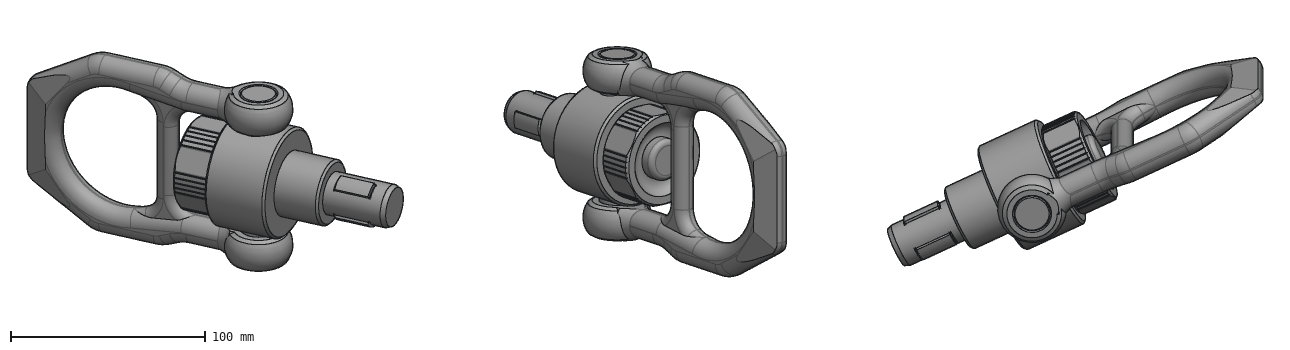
import cadquery as cq
import math

TOTAL_LENGTH = 209.1

SELECTION_MARGIN = 0.2

SHACKLE_HALF_HEIGHT = 51.0
BAR_THICKNESS = 16.3
TIP_HALF_HEIGHT = 28.0
SHOULDER_X = 39.3
WAIST_START_X = 78.5
ARM_START_X = 90.3
ARM_OUTER_Z = 46.0
ARM_INNER_Z = 30.3
TIP_CORNER_RADIUS = 8.4
BEND_RADIUS = 16.7
EYE_X = 53.5
EYE_RADIUS = 35.0
CROSSBAR_LEFT_X = 74.0
CROSSBAR_RIGHT_X = 85.3
CROSSBAR_THICKNESS = CROSSBAR_RIGHT_X - CROSSBAR_LEFT_X
WEB_RADIUS = 10.5
OUTER_ROUND = 7.7
INNER_ROUND = 7.7
EYE_END_X = 60.6
CROSSBAR_ROUND = 5.5
CROSSBAR_END_Z = 42.9
TIP_HALF_THICKNESS = 3.0
TAPER_LENGTH = 13.4
TAPER_CORNER_Z = 18.8

LUG_X = 131.3
LUG_RADIUS = 17.8
LUG_SHOULDER_RADIUS = 15.3
LUG_FACE_RADIUS = 13.0
LUG_BOTTOM_Z = ARM_INNER_Z
LUG_TOP_Z = 48.3
LUG_EDGE_DROP = 1.3
FLARE_START_X = 109.2
FLARE_END_X = 119.2
FLARE_RADIUS = 11.7

HOUSING_RADIUS = 29.5
HOUSING_START_X = 114.4
HOUSING_END_X = 148.7
HOUSING_CHAMFER = 1.3
TRUNNION_RADIUS = 9.5
TRUNNION_CHAMFER = 0.6

HEAD_START_X = 94.1
HEAD_RADIUS = 25.0
HEAD_CHAMFER = 1.3
FLAT_DISTANCE = 24.3
GRIP_COUNT = 6
GRIP_STEP = 360 / GRIP_COUNT
NOTCHES_PER_GRIP = 5
NOTCH_STEP_ANGLE = 6.6
NOTCH_WIDTH = 0.6
NOTCH_DEPTH = 0.5
DISH_RADIUS = 19.7
DISH_DEPTH = 4.5
BUTTON_RADIUS = 11.0
BUTTON_FACE_RADIUS = 8.0
BUTTON_HEIGHT = 2.5
SHANK_RADIUS = 17.5
SHANK_END_X = 173.5
SHANK_CHAMFER = 1.3
TIP_RADIUS = 11.5
TIP_CHAMFER_LENGTH = 2.7
TIP_CHAMFER_DEPTH = 1.0

PAD_ANGLES = (60, 180, 300)
PAD_START_X = 179.5
PAD_LENGTH = 19.2
PAD_WIDTH = 8.8
PAD_RADIUS = 12.8
PAD_POCKET_DEPTH = 1.0
PAD_END_GAP = 0.8


def revolved_about_x(profile):
    """Turn a half profile, drawn as (x, radius) in the XY plane, about the X axis."""
    return profile.close().revolve(360, (0, 0, 0), (1, 0, 0))


def mirrored_pair(body):
    """Join a body to its mirror image below the XY plane."""
    return body.union(body.mirror("XY"))


def shackle_blank():
    """Rounded plate with the outer outline of the shackle, before it is opened."""
    upper_points = [
        (0, TIP_HALF_HEIGHT),
        (SHOULDER_X, SHACKLE_HALF_HEIGHT),
        (WAIST_START_X, SHACKLE_HALF_HEIGHT),
        (ARM_START_X, ARM_OUTER_Z),
        (LUG_X, ARM_OUTER_Z),
    ]
    lower_points = [(x, -z) for x, z in reversed(upper_points)]
    blank = (
        cq.Workplane("XZ")
        .polyline(upper_points + lower_points)
        .close()
        .extrude(BAR_THICKNESS / 2, both=True)
    )
    blank = blank.edges("|Y").edges("<X").fillet(TIP_CORNER_RADIUS)
    bends = cq.selectors.BoxSelector(
        (SHOULDER_X - SELECTION_MARGIN, -BAR_THICKNESS, -TOTAL_LENGTH),
        (ARM_START_X + SELECTION_MARGIN, BAR_THICKNESS, TOTAL_LENGTH),
    )
    blank = blank.edges("|Y").edges(bends).fillet(BEND_RADIUS)
    return blank.faces("|Y").edges("not(>X)").fillet(OUTER_ROUND)


def eye_cutter():
    """Round eye, cut off straight by the crossbar."""
    disc = cq.Workplane("XZ").center(EYE_X, 0).circle(EYE_RADIUS).extrude(BAR_THICKNESS, both=True)
    keep_length = CROSSBAR_LEFT_X - EYE_X + EYE_RADIUS
    keep = cq.Workplane("XY").box(keep_length, 4 * BAR_THICKNESS, 3 * EYE_RADIUS)
    keep = keep.translate((CROSSBAR_LEFT_X - keep_length / 2, 0, 0))
    return disc.intersect(keep).edges("|Y").edges(">X").fillet(WEB_RADIUS)


def fork_cutter():
    """Open space between the arms, behind the crossbar."""
    length = LUG_X + LUG_RADIUS - CROSSBAR_RIGHT_X
    block = cq.Workplane("XY").box(length, 2 * BAR_THICKNESS, 2 * ARM_INNER_Z)
    block = block.translate((CROSSBAR_RIGHT_X + length / 2, 0, 0))
    return block.edges("|Y").edges("<X").fillet(WEB_RADIUS)


def opening_cutter():
    """Whole space inside the shackle, before the crossbar is added."""
    eye_end_z = math.sqrt(EYE_RADIUS**2 - (EYE_END_X - EYE_X) ** 2)
    return (
        cq.Workplane("XZ")
        .moveTo(LUG_X, ARM_INNER_Z)
        .lineTo(ARM_START_X, ARM_INNER_Z)
        .lineTo(EYE_END_X, eye_end_z)
        .threePointArc((EYE_X - EYE_RADIUS, 0), (EYE_END_X, -eye_end_z))
        .lineTo(ARM_START_X, -ARM_INNER_Z)
        .lineTo(LUG_X, -ARM_INNER_Z)
        .close()
        .extrude(BAR_THICKNESS, both=True)
    )


def crossbar():
    """Round crossbar that widens into webs where it meets the arms."""
    length = FLARE_START_X - EYE_END_X
    plate = cq.Workplane("XY").box(length, CROSSBAR_THICKNESS, 2 * CROSSBAR_END_Z)
    plate = plate.translate((EYE_END_X + length / 2, 0, 0)).cut(eye_cutter()).cut(fork_cutter())
    web_edges = cq.selectors.BoxSelector(
        (EYE_END_X + SELECTION_MARGIN, -BAR_THICKNESS, -EYE_RADIUS + SELECTION_MARGIN),
        (FLARE_START_X + SELECTION_MARGIN, BAR_THICKNESS, EYE_RADIUS - SELECTION_MARGIN),
        boundingbox=True,
    )
    return plate.faces("|Y").edges(web_edges).fillet(CROSSBAR_ROUND)


def shoulder_taper_cutter():
    """Tetrahedron that carries the tip taper along the upper sloping side, fading out at the shoulder."""
    surface_y = BAR_THICKNESS / 2
    deep_corner = cq.Vector(0, TIP_HALF_THICKNESS, TIP_HALF_HEIGHT)
    tip_corner = cq.Vector(0, surface_y, TIP_HALF_HEIGHT)
    shoulder_corner = cq.Vector(SHOULDER_X, surface_y, SHACKLE_HALF_HEIGHT)
    inner_corner = cq.Vector(TAPER_LENGTH, surface_y, TAPER_CORNER_Z)
    triangles = [
        (tip_corner, shoulder_corner, inner_corner),
        (deep_corner, shoulder_corner, inner_corner),
        (deep_corner, tip_corner, inner_corner),
        (deep_corner, tip_corner, shoulder_corner),
    ]
    faces = [cq.Face.makeFromWires(cq.Wire.makePolygon(corners, close=True)) for corners in triangles]
    return cq.Workplane(cq.Solid.makeSolid(cq.Shell.makeShell(faces)))


def tip_taper_cutter():
    """Wedges that thin the shackle towards its tip, on both faces."""
    wedge = (
        cq.Workplane("XY")
        .moveTo(0, TIP_HALF_THICKNESS)
        .lineTo(TAPER_LENGTH, BAR_THICKNESS / 2)
        .lineTo(0, BAR_THICKNESS / 2)
        .close()
        .extrude(TIP_HALF_HEIGHT, both=True)
    )
    one_face = wedge.union(mirrored_pair(shoulder_taper_cutter()))
    return one_face.union(one_face.mirror("XZ"))


def lug():
    """Barrel-shaped lug around the upper trunnion."""
    middle_z = (LUG_BOTTOM_Z + LUG_TOP_Z) / 2
    barrel = (
        cq.Workplane("XZ")
        .moveTo(0, LUG_BOTTOM_Z)
        .lineTo(LUG_FACE_RADIUS, LUG_BOTTOM_Z)
        .lineTo(LUG_SHOULDER_RADIUS, LUG_BOTTOM_Z + LUG_EDGE_DROP)
        .threePointArc((LUG_RADIUS, middle_z), (LUG_SHOULDER_RADIUS, LUG_TOP_Z - LUG_EDGE_DROP))
        .lineTo(LUG_FACE_RADIUS, LUG_TOP_Z)
        .lineTo(0, LUG_TOP_Z)
        .close()
        .revolve(360, (0, 0, 0), (0, 1, 0))
    )
    return barrel.translate((LUG_X, 0, 0))


def arm_flare():
    """Trumpet-shaped transition from the arm to the lug."""
    arm_radius = (ARM_OUTER_Z - ARM_INNER_Z) / 2
    middle_x = (FLARE_START_X + FLARE_END_X) / 2
    middle_radius = arm_radius + (FLARE_RADIUS - arm_radius) / 4
    flare = revolved_about_x(
        cq.Workplane("XY")
        .moveTo(FLARE_START_X, 0)
        .lineTo(FLARE_START_X, arm_radius)
        .threePointArc((middle_x, middle_radius), (FLARE_END_X, FLARE_RADIUS))
        .lineTo(LUG_X, FLARE_RADIUS)
        .lineTo(LUG_X, 0)
    )
    flare = flare.translate((0, 0, ARM_INNER_Z + arm_radius))
    band_height = LUG_TOP_Z - LUG_BOTTOM_Z
    band = cq.Workplane("XY").box(2 * TOTAL_LENGTH, 2 * FLARE_RADIUS, band_height)
    return flare.intersect(band.translate((0, 0, LUG_BOTTOM_Z + band_height / 2)))


def trunnion_hole():
    """Hole through the upper lug, with a countersunk outer rim."""
    hole = cq.Workplane("XY").circle(TRUNNION_RADIUS).extrude(LUG_TOP_Z)
    rim = (
        cq.Workplane("XY", origin=(0, 0, LUG_TOP_Z - TRUNNION_CHAMFER))
        .circle(TRUNNION_RADIUS)
        .workplane(offset=TRUNNION_CHAMFER)
        .circle(TRUNNION_RADIUS + TRUNNION_CHAMFER)
        .loft()
    )
    return hole.union(rim).translate((LUG_X, 0, 0))


def make_shackle():
    frame = shackle_blank().cut(opening_cutter())
    opening_edges = cq.selectors.BoxSelector(
        (EYE_X - EYE_RADIUS - SELECTION_MARGIN, -BAR_THICKNESS, -EYE_RADIUS - SELECTION_MARGIN),
        (LUG_X + SELECTION_MARGIN, BAR_THICKNESS, EYE_RADIUS + SELECTION_MARGIN),
        boundingbox=True,
    )
    frame = frame.faces("|Y").edges(opening_edges).fillet(INNER_ROUND)
    frame = frame.cut(tip_taper_cutter()).union(crossbar())
    lug_end = lug().union(arm_flare())
    return frame.union(mirrored_pair(lug_end)).cut(mirrored_pair(trunnion_hole()))


def make_housing():
    """Round housing with a bore for the spindle and two trunnions for the shackle."""
    barrel = (
        cq.Workplane("YZ", origin=(HOUSING_START_X, 0, 0))
        .circle(HOUSING_RADIUS)
        .extrude(HOUSING_END_X - HOUSING_START_X)
        .edges()
        .chamfer(HOUSING_CHAMFER)
    )
    trunnions = (
        cq.Workplane("XY")
        .center(LUG_X, 0)
        .circle(TRUNNION_RADIUS)
        .extrude(LUG_TOP_Z, both=True)
        .edges()
        .chamfer(TRUNNION_CHAMFER)
    )
    bore = cq.Workplane("YZ").circle(SHANK_RADIUS).extrude(TOTAL_LENGTH)
    return barrel.union(trunnions).cut(bore)


def grip_head():
    """Head with flats between notched grip areas, dished at the front."""
    head_length = HOUSING_START_X - HEAD_START_X
    head = (
        cq.Workplane("YZ", origin=(HEAD_START_X, 0, 0))
        .circle(HEAD_RADIUS)
        .extrude(head_length)
        .edges()
        .chamfer(HEAD_CHAMFER)
    )
    flat_depth = HEAD_RADIUS - FLAT_DISTANCE
    flat = cq.Workplane("XY").box(head_length, HEAD_RADIUS, flat_depth, centered=(False, True, False))
    flat = flat.translate((HEAD_START_X, 0, FLAT_DISTANCE))
    notch = (
        cq.Workplane("YZ", origin=(HEAD_START_X, 0, 0))
        .moveTo(-NOTCH_WIDTH / 2, HEAD_RADIUS)
        .lineTo(0, HEAD_RADIUS - NOTCH_DEPTH)
        .lineTo(NOTCH_WIDTH / 2, HEAD_RADIUS)
        .close()
        .extrude(head_length)
    )
    for grip in range(GRIP_COUNT):
        flat_angle = grip * GRIP_STEP
        head = head.cut(flat.rotate((0, 0, 0), (1, 0, 0), flat_angle))
        for index in range(NOTCHES_PER_GRIP):
            offset = (index - (NOTCHES_PER_GRIP - 1) / 2) * NOTCH_STEP_ANGLE
            head = head.cut(notch.rotate((0, 0, 0), (1, 0, 0), flat_angle + GRIP_STEP / 2 + offset))
    return head.cut(dish())


def rounded_middle(start_x, depth, inner_radius, outer_radius):
    """Middle point of an arc that bulges away from the corner at start_x and inner_radius."""
    share = math.sqrt(0.5)
    return (start_x + depth * share, inner_radius + (outer_radius - inner_radius) * share)


def dish():
    """Hollow in the front of the head, with a concave wall."""
    bottom_x = HEAD_START_X + DISH_DEPTH
    return revolved_about_x(
        cq.Workplane("XY")
        .moveTo(HEAD_START_X, 0)
        .lineTo(HEAD_START_X, DISH_RADIUS)
        .threePointArc(
            rounded_middle(HEAD_START_X, DISH_DEPTH, BUTTON_RADIUS, DISH_RADIUS),
            (bottom_x, BUTTON_RADIUS),
        )
        .lineTo(bottom_x, 0)
    )


def push_button():
    """Button with a rounded rim, standing in the dish."""
    front_x = HEAD_START_X - BUTTON_HEIGHT
    bottom_x = HEAD_START_X + DISH_DEPTH
    return revolved_about_x(
        cq.Workplane("XY")
        .moveTo(front_x, 0)
        .lineTo(front_x, BUTTON_FACE_RADIUS)
        .threePointArc(
            rounded_middle(HEAD_START_X, -BUTTON_HEIGHT, BUTTON_FACE_RADIUS, BUTTON_RADIUS),
            (HEAD_START_X, BUTTON_RADIUS),
        )
        .lineTo(bottom_x, BUTTON_RADIUS)
        .lineTo(bottom_x, 0)
    )


def shank():
    """Stepped shaft from the head, through the housing, to the locking tip."""
    return revolved_about_x(
        cq.Workplane("XY")
        .moveTo(HOUSING_START_X, 0)
        .lineTo(HOUSING_START_X, SHANK_RADIUS)
        .lineTo(SHANK_END_X - SHANK_CHAMFER, SHANK_RADIUS)
        .lineTo(SHANK_END_X, SHANK_RADIUS - SHANK_CHAMFER)
        .lineTo(SHANK_END_X, TIP_RADIUS)
        .lineTo(TOTAL_LENGTH - TIP_CHAMFER_LENGTH, TIP_RADIUS)
        .lineTo(TOTAL_LENGTH, TIP_RADIUS - TIP_CHAMFER_DEPTH)
        .lineTo(TOTAL_LENGTH, 0)
    )


def round_topped_bar(start_x, length, radius):
    """Bar of pad width on the -Y side, reaching from the axis to a round top."""
    bar = cq.Workplane("XY").box(length, 2 * radius, PAD_WIDTH, centered=(False, False, True))
    bar = bar.translate((start_x, -2 * radius, 0))
    cylinder = cq.Workplane("YZ", origin=(start_x, 0, 0)).circle(radius).extrude(length)
    return bar.intersect(cylinder)


def add_locking_pads(spindle):
    """Set a raised pad into a slightly longer pocket at each pad angle."""
    floor_radius = TIP_RADIUS - PAD_POCKET_DEPTH
    pocket_start_x = PAD_START_X - PAD_END_GAP
    pocket_length = PAD_LENGTH + 2 * PAD_END_GAP
    pocket = round_topped_bar(pocket_start_x, pocket_length, PAD_RADIUS)
    pocket = pocket.cut(cq.Workplane("YZ").circle(floor_radius).extrude(TOTAL_LENGTH))
    pad = round_topped_bar(PAD_START_X, PAD_LENGTH, PAD_RADIUS)
    for angle in PAD_ANGLES:
        spindle = spindle.cut(pocket.rotate((0, 0, 0), (1, 0, 0), angle))
        spindle = spindle.union(pad.rotate((0, 0, 0), (1, 0, 0), angle))
    return spindle


def make_spindle():
    return add_locking_pads(grip_head().union(push_button()).union(shank()))


shackle = make_shackle()
housing = make_housing()
spindle = make_spindle()

result = cq.Compound.makeCompound([shackle.val(), housing.val(), spindle.val()])